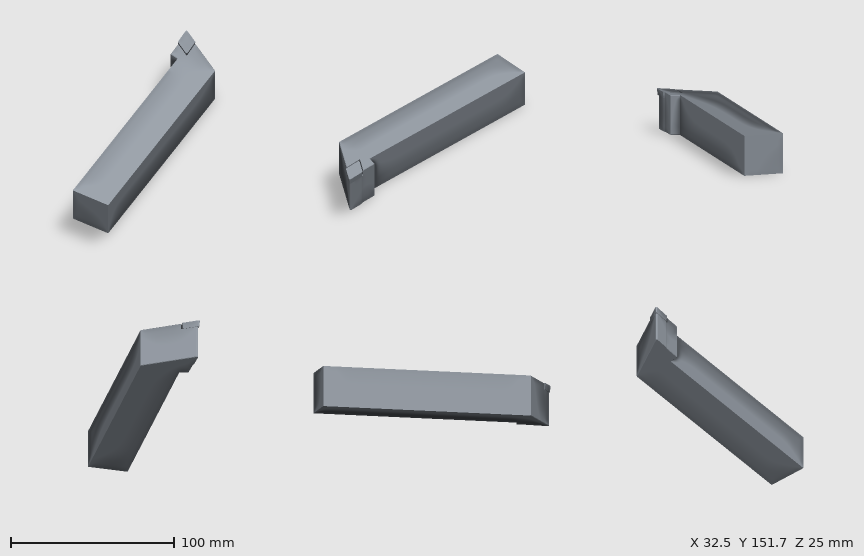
import cadquery as cq
import math

overall_length = 151.7
overall_width = 32.5
shank_width = 25.0
shank_height = 25.0
insert_overhang = overall_width - shank_width

insert_circle = 9.5
insert_thickness = 4.0
corner_angle = 55.0
nose_radius = 0.8
relief_angle = 7.0
side_edge_angle = 93.0
screw_diameter = 6.0

slope_start_y = 131.2
heel_inner = (0.0, 128.3)
heel_outer = (-5.6, 129.7)
step_rear = (-5.9, 140.0)
step_front = (-6.2, 141.2)
nose_x = -6.7
pocket_gap = 0.6
head_chamfer = 0.3

pocket_floor = shank_height - insert_thickness
front_edge_angle = side_edge_angle + corner_angle
long_axis_angle = side_edge_angle + corner_angle / 2
front_slope = math.tan(math.radians(180 - front_edge_angle))
nose_y = slope_start_y + (shank_width - nose_x) * front_slope

half_corner = math.radians(corner_angle / 2)
half_long_axis = insert_circle / 2 / math.sin(half_corner)
nose_distance = half_long_axis - nose_radius / math.sin(half_corner)
axis_direction = math.radians(long_axis_angle)
insert_x = -insert_overhang + nose_radius - nose_distance * math.cos(axis_direction)
insert_y = overall_length - nose_radius - nose_distance * math.sin(axis_direction)


def rhombus_points(inscribed_diameter):
    """Corners of a 55 degree rhombus centred on the insert."""
    long_reach = inscribed_diameter / 2 / math.sin(half_corner)
    short_reach = inscribed_diameter / 2 / math.cos(half_corner)
    points = []
    for quarter, reach in enumerate([long_reach, short_reach] * 2):
        direction = axis_direction + quarter * math.pi / 2
        points.append((insert_x + reach * math.cos(direction), insert_y + reach * math.sin(direction)))
    return points


def nearest_to(x, y, z):
    """Selector for the edge whose centre is closest to a point."""
    return cq.selectors.NearestToPointSelector((x, y, z))


def make_screw():
    """Upright cylinder from the pocket floor to the top face, on the insert centre."""
    return (
        cq.Workplane("XY", origin=(insert_x, insert_y, pocket_floor))
        .circle(screw_diameter / 2)
        .extrude(insert_thickness)
    )


def make_holder():
    """Square shank and angled head, with the insert pocket and its screw stub."""
    outline = [
        (0, 0),
        (shank_width, 0),
        (shank_width, slope_start_y),
        (nose_x, nose_y),
        step_front,
        step_rear,
        heel_outer,
        heel_inner,
    ]
    body = cq.Workplane("XY").polyline(outline).close().extrude(shank_height)
    head_sides = [
        ((shank_width, slope_start_y), (nose_x, nose_y)),
        (step_rear, heel_outer),
        (heel_outer, heel_inner),
    ]
    head_edges = cq.Workplane("XY")
    for start, end in head_sides:
        middle_x = (start[0] + end[0]) / 2
        middle_y = (start[1] + end[1]) / 2
        for z in (0, shank_height):
            head_edges = head_edges.add(body.edges(nearest_to(middle_x, middle_y, z)))
    body = body.newObject(head_edges.vals()).chamfer(head_chamfer)
    body = body.edges(nearest_to(nose_x, nose_y, shank_height / 2)).fillet(nose_radius)

    pocket = (
        cq.Workplane("XY", origin=(0, 0, pocket_floor))
        .polyline(rhombus_points(insert_circle + 2 * pocket_gap))
        .close()
        .extrude(insert_thickness)
    )
    return body.cut(pocket).union(make_screw())


def make_insert():
    """Rhombic insert, narrowing downwards, with a hole that fits the screw stub."""
    corners = [cq.Vector(x, y, shank_height) for x, y in rhombus_points(insert_circle)]
    rhombus = cq.Wire.makePolygon(corners, close=True)
    rounded_rhombus = rhombus.fillet2D(nose_radius, rhombus.Vertices()[::2])
    blank = (
        cq.Workplane("XY", origin=(0, 0, shank_height))
        .newObject([rounded_rhombus])
        .toPending()
        .extrude(-insert_thickness, taper=relief_angle)
    )
    return blank.cut(make_screw())


holder = make_holder()
insert = make_insert()

result = cq.Compound.makeCompound([holder.val(), insert.val()])